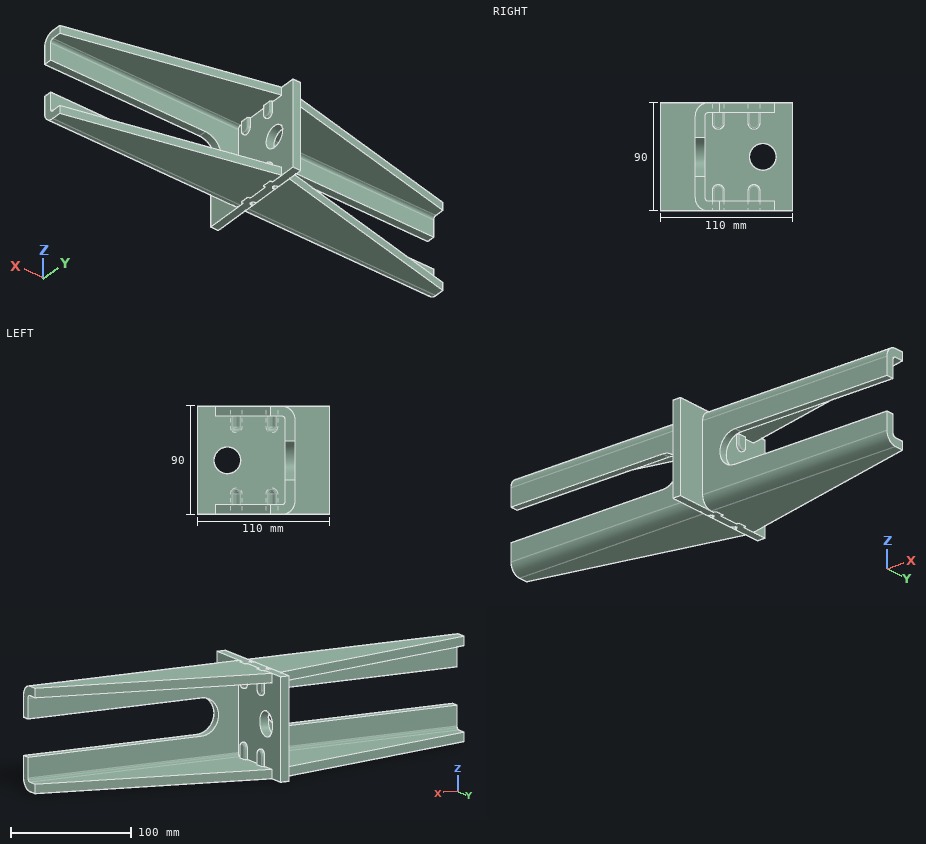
import cadquery as cq
import math

overall_length = 408.0
plate_width = 110.0
height = 90.0
half_height = height / 2

plate_thickness = 8.0
half_plate = plate_thickness / 2
plate_hole_diameter = 22.0
plate_hole_y = 30.0

arm_length = (overall_length - plate_thickness) / 2
wall = 8.0
bend_outer_radius = 11.0
bend_inner_radius = bend_outer_radius - wall
web_front_y = -26.0
tip_depth = 20.5
root_depth = 66.0
slot_radius = 16.5
slot_end_gap = 18.8

dimple_positions_y = (-7.0, 23.0)
dimple_run = 17.0
groove_radius = 2.5
groove_lip_radius = 1.2
groove_depth = groove_radius + groove_lip_radius
bump_half_width = 5.0
bump_height = 2.5
bump_corner_radius = 1.2

diagonal = math.sqrt(0.5)


def extrude_and_round_end(half_profile):
    """Run a half profile (offset in Y, position in X) down from the top edge and round its lower end."""
    end_z = half_height - dimple_run
    straight_half = half_profile.extrude(dimple_run)
    straight = straight_half.union(straight_half.mirror("XZ"))
    round_end = half_profile.toPending().revolve(360, (0, 0, 0), (1, 0, 0))
    return straight.union(round_end).translate((0, 0, end_z))


def make_groove():
    """Round-bottomed groove whose mouth flares out into a rounded lip."""
    face_x = -half_plate
    mouth = groove_radius + groove_lip_radius
    floor_x = face_x + groove_depth
    wall_x = face_x + groove_lip_radius
    lip_middle = (wall_x - groove_lip_radius * diagonal, mouth - groove_lip_radius * diagonal)
    floor_middle = (wall_x + groove_radius * diagonal, groove_radius * diagonal)
    half_profile = (
        cq.Workplane("XY")
        .moveTo(face_x, 0)
        .lineTo(face_x, mouth)
        .threePointArc(lip_middle, (wall_x, groove_radius))
        .threePointArc(floor_middle, (floor_x, 0))
        .close()
    )
    return extrude_and_round_end(half_profile)


def make_bump():
    """Shallow flat-topped bump with rounded corners."""
    face_x = half_plate
    top_x = face_x + bump_height
    corner_x = top_x - bump_corner_radius
    corner_y = bump_half_width - bump_corner_radius
    corner_middle = (corner_x + bump_corner_radius * diagonal, corner_y + bump_corner_radius * diagonal)
    half_profile = (
        cq.Workplane("XY")
        .moveTo(face_x, 0)
        .lineTo(face_x, bump_half_width)
        .lineTo(corner_x, bump_half_width)
        .threePointArc(corner_middle, (top_x, corner_y))
        .lineTo(top_x, 0)
        .close()
    )
    return extrude_and_round_end(half_profile)


def place_dimples(shape):
    """Copies of one dimple shape at the top and bottom edges of the plate."""
    copies = []
    for y in dimple_positions_y:
        upper = shape.translate((0, y, 0))
        copies.append(upper)
        copies.append(upper.mirror("XY"))
    return copies


def make_plate(grooves, bumps):
    """Flat plate with one hole and four pressed dimples."""
    plate = cq.Workplane("XY").box(plate_thickness, plate_width, height)
    hole = (
        cq.Workplane("YZ")
        .center(plate_hole_y, 0)
        .circle(plate_hole_diameter / 2)
        .extrude(plate_thickness, both=True)
    )
    plate = plate.cut(hole)
    for groove in grooves:
        plate = plate.cut(groove)
    for bump in bumps:
        plate = plate.union(bump)
    return plate


def make_bracket():
    """Bent channel on the +X side: a slotted web and two flanges that taper towards the tip."""
    tip_x = half_plate + arm_length
    root_y = web_front_y + root_depth
    tip_y = web_front_y + tip_depth

    outer = (
        cq.Workplane("XY")
        .box(arm_length, root_depth, height, centered=(False, False, True))
        .edges("|X and <Y")
        .fillet(bend_outer_radius)
    )
    inner = (
        cq.Workplane("XY")
        .box(arm_length, root_depth, height - 2 * wall, centered=(False, False, True))
        .edges("|X and <Y")
        .fillet(bend_inner_radius)
        .translate((0, wall, 0))
    )
    channel = outer.cut(inner).translate((half_plate, web_front_y, 0))

    taper = (
        cq.Workplane("XY")
        .workplane(offset=-half_height)
        .polyline([(half_plate, root_y), (tip_x, root_y), (tip_x, tip_y)])
        .close()
        .extrude(height)
    )

    slot_centre_x = half_plate + slot_end_gap + slot_radius
    slot_centre_to_tip = tip_x - slot_centre_x
    slot = (
        cq.Workplane("XZ")
        .center(slot_centre_x, 0)
        .slot2D(2 * (slot_centre_to_tip + slot_radius), 2 * slot_radius)
        .extrude(wall)
        .translate((slot_centre_to_tip, web_front_y + wall, 0))
    )
    return channel.cut(taper).cut(slot)


grooves = place_dimples(make_groove())
bumps = place_dimples(make_bump())

plate = make_plate(grooves, bumps)

right_bracket = make_bracket()
left_bracket = right_bracket.mirror("YZ")

for bump in bumps:
    right_bracket = right_bracket.cut(bump)

result = cq.Compound.makeCompound([plate.val(), left_bracket.val(), right_bracket.val()])